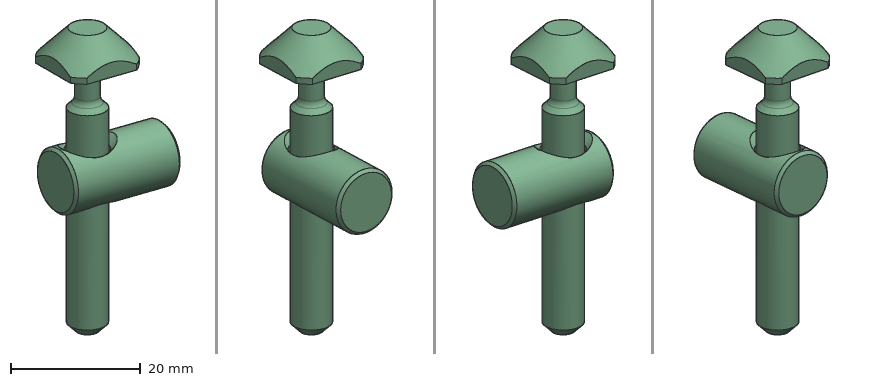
import cadquery as cq
import math


overall_height = 51.0
overall_depth = 20.5

barrel_diameter = 10.8
barrel_length = 20.0
barrel_chamfer = 0.5
cross_hole_diameter = 7.2
countersink_diameter = 10.0

stud_top_z = 24.5
stud_bottom_z = stud_top_z - overall_height
stud_radius = 6.6 / 2
tip_chamfer = 1.5
shoulder_z = 11.05
neck_radius = 4.05 / 2
neck_fillet = 1.5

head_width = 13.0
head_height = 6.0
head_corner_radius = 8.0
head_top_radius = 3.0


def make_barrel():
    """Chamfered cylinder with a cross hole countersunk at both mouths."""
    barrel_radius = barrel_diameter / 2
    barrel_back_y = overall_depth - head_width / 2
    barrel = (
        cq.Workplane("XZ", origin=(0, barrel_back_y, 0))
        .circle(barrel_radius)
        .extrude(barrel_length)
        .faces("<Y or >Y")
        .chamfer(barrel_chamfer)
    )
    hole_radius = cross_hole_diameter / 2
    mouth_radius = countersink_diameter / 2
    countersink_start_z = barrel_radius - (mouth_radius - hole_radius)
    cross_hole = (
        cq.Workplane("XZ")
        .moveTo(0, -barrel_radius)
        .lineTo(mouth_radius, -barrel_radius)
        .lineTo(hole_radius, -countersink_start_z)
        .lineTo(hole_radius, countersink_start_z)
        .lineTo(mouth_radius, barrel_radius)
        .lineTo(0, barrel_radius)
        .close()
        .revolve(360, (0, 0, 0), (0, 1, 0))
    )
    return barrel.cut(cross_hole)


def make_head():
    """Square head with rounded corners under a 45 degree cone."""
    head_bottom_z = stud_top_z - head_height
    cone_base_z = stud_top_z - (head_corner_radius - head_top_radius)
    turned_blank = (
        cq.Workplane("XZ")
        .moveTo(0, head_bottom_z)
        .lineTo(head_corner_radius, head_bottom_z)
        .lineTo(head_corner_radius, cone_base_z)
        .lineTo(head_top_radius, stud_top_z)
        .lineTo(0, stud_top_z)
        .close()
        .revolve(360, (0, 0, 0), (0, 1, 0))
    )
    square = (
        cq.Workplane("XY", origin=(0, 0, head_bottom_z))
        .rect(head_width, head_width)
        .extrude(head_height)
    )
    return turned_blank.intersect(square)


def make_stud():
    """Turned shank and neck joined to the head."""
    head_bottom_z = stud_top_z - head_height

    half_angle = math.radians(22.5)
    end_angle = math.radians(45)
    fillet_center_r = neck_radius + neck_fillet
    shoulder_end_r = fillet_center_r - neck_fillet * math.cos(end_angle)
    shoulder_end_z = shoulder_z + stud_radius - shoulder_end_r
    neck_bottom_z = shoulder_end_z + neck_fillet * math.sin(end_angle)
    lower_mid_r = fillet_center_r - neck_fillet * math.cos(half_angle)
    lower_mid_z = neck_bottom_z - neck_fillet * math.sin(half_angle)

    neck_top_z = head_bottom_z - neck_fillet
    upper_mid_r = fillet_center_r - neck_fillet * math.cos(end_angle)
    upper_mid_z = neck_top_z + neck_fillet * math.sin(end_angle)

    shank = (
        cq.Workplane("XZ")
        .moveTo(0, stud_bottom_z)
        .lineTo(stud_radius - tip_chamfer, stud_bottom_z)
        .lineTo(stud_radius, stud_bottom_z + tip_chamfer)
        .lineTo(stud_radius, shoulder_z)
        .lineTo(shoulder_end_r, shoulder_end_z)
        .threePointArc((lower_mid_r, lower_mid_z), (neck_radius, neck_bottom_z))
        .lineTo(neck_radius, neck_top_z)
        .threePointArc((upper_mid_r, upper_mid_z), (fillet_center_r, head_bottom_z))
        .lineTo(0, head_bottom_z)
        .close()
        .revolve(360, (0, 0, 0), (0, 1, 0))
    )
    return shank.union(make_head())


barrel = make_barrel()
stud = make_stud()

result = cq.Compound.makeCompound([barrel.val(), stud.val()])